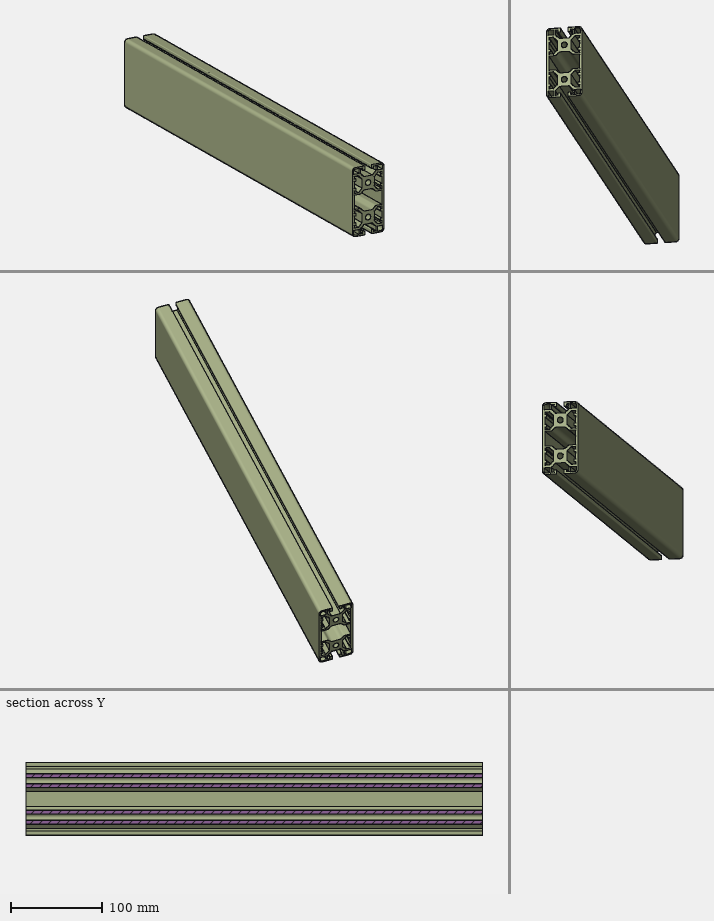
import cadquery as cq

length = 500.0
width = 40.0
height = 2 * width
corner_radius = 4.0

module_offset = width / 2
core_half = 7.75
core_bore_radius = 3.25

mouth_half = 4.0
lip_radius = 1.0
lip_width = 3.0
lip_depth = 4.75
lip_tip = width / 2 - lip_depth
lip_back = mouth_half + lip_width
chamber_half = 10.0
lip_plate = 2.25
chamber_roof = width / 2 - lip_plate

side_wall = 2.75
side_chamber_depth = width / 2 - side_wall
side_chamber_half = 9.75
strut_offset = 2.5

box_wall = 1.75
box_outer = width / 2 - box_wall
box_side_web = 1.5
box_floor_web = 2.75
box_inner = chamber_half + box_side_web
box_floor = side_chamber_half + box_floor_web
box_radius = corner_radius - box_wall

duct_web = 2.0
duct_shoulder = module_offset - side_chamber_half - duct_web
duct_shoulder_half = 9.5
duct_crown = module_offset - core_half
duct_crown_half = duct_shoulder_half - (duct_crown - duct_shoulder)
duct_crown_radius = 5.0
duct_shoulder_radius = 3.0


def prism(outline):
    """Extrude a closed (Y, Z) outline over the full length."""
    return cq.Workplane("YZ").polyline(outline).close().extrude(length)


def bar(y_min, y_max, z_min, z_max):
    """Rectangular bar running the full length."""
    return prism([(y_min, z_min), (y_max, z_min), (y_max, z_max), (y_min, z_max)])


def both_ways(body, plane):
    """Join a body with its mirror image."""
    return body.union(body.mirror(plane))


def open_slot():
    """Void of the upper open slot, relative to the core centre."""
    chamber = prism(
        [
            (strut_offset - core_half, core_half),
            (core_half - strut_offset, core_half),
            (chamber_half, chamber_half + strut_offset),
            (chamber_half, chamber_roof),
            (-chamber_half, chamber_roof),
            (-chamber_half, chamber_half + strut_offset),
        ]
    )
    mouth = bar(-lip_back, lip_back, chamber_half, width / 2)
    lip = bar(mouth_half, lip_back, lip_tip, width / 2)
    lip = lip.edges("|X and <Y").fillet(lip_radius)
    return chamber.union(mouth).cut(both_ways(lip, "XZ"))


def side_chamber():
    """Void of the closed slot on the +Y side, with two lips on its outer wall."""
    chamber = prism(
        [
            (core_half, strut_offset - core_half),
            (side_chamber_half + strut_offset, -side_chamber_half),
            (side_chamber_depth, -side_chamber_half),
            (side_chamber_depth, side_chamber_half),
            (side_chamber_half + strut_offset, side_chamber_half),
            (core_half, core_half - strut_offset),
        ]
    )
    lip = bar(lip_tip, width / 2, mouth_half, lip_back)
    lip = lip.edges("|X and <Y").fillet(lip_radius)
    return chamber.cut(both_ways(lip, "XY"))


def corner_box():
    """Void of the hollow corner on the +Y, +Z side."""
    box = bar(box_inner, box_outer, box_floor, box_outer)
    return box.edges("|X and >Y and >Z").fillet(box_radius)


def module_voids():
    """All voids of the upper module, lifted to its place."""
    bore = cq.Workplane("YZ").circle(core_bore_radius).extrude(length)
    sides = both_ways(side_chamber().union(corner_box()), "XZ")
    return open_slot().union(sides).union(bore).translate((0, 0, module_offset))


def central_duct():
    """Void between the modules, widening towards both cores with rounded bends."""
    room = bar(-side_chamber_depth, side_chamber_depth, -duct_shoulder, duct_shoulder)
    crowns = prism(
        [
            (-duct_shoulder_half, duct_shoulder),
            (-duct_crown_half, duct_crown),
            (duct_crown_half, duct_crown),
            (duct_shoulder_half, duct_shoulder),
            (duct_shoulder_half, -duct_shoulder),
            (duct_crown_half, -duct_crown),
            (-duct_crown_half, -duct_crown),
            (-duct_shoulder_half, -duct_shoulder),
        ]
    )
    duct = room.union(crowns)
    duct = duct.edges("|X").edges("not(<Y or >Y or <Z or >Z)").fillet(duct_shoulder_radius)
    return duct.edges("|X and (>Z or <Z)").fillet(duct_crown_radius)


envelope = bar(-width / 2, width / 2, -height / 2, height / 2).edges("|X").fillet(corner_radius)
profile = envelope.cut(both_ways(module_voids(), "XY")).cut(central_duct())
result = profile.translate((-length / 2, 0, 0))